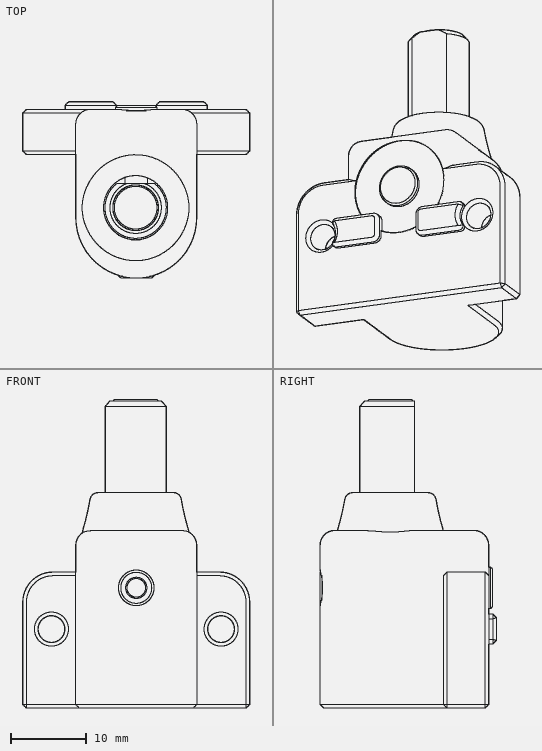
import cadquery as cq
block_radius = 8.0
back_y = 14.3
block_height = 23.5
block_fillet = 2.0
edge_chamfer = 0.5

flange_width = 30.0
flange_height = 18.0
flange_thickness = 6.0
flange_corner_radius = 4.0
mount_hole_diameter = 3.5
mount_hole_spacing = 22.4
mount_hole_z = 10.45

axis_x = -0.08
axis_y = 1.3
collar_top_z = 28.5
collar_top_radius = 5.9
collar_base_radius = 7.0
collar_skirt_radius = 7.2
collar_skirt_depth = 1.0
collar_flare = 0.1
collar_fillet = 1.1
bore_diameter = 8.48
bore_floor_z = 4.0

tab_inner_x = 2.6
tab_outer_x = 9.4
tab_height = 4.0
tab_projection = 1.02
tab_inner_fillet = 0.95
tab_outer_fillet = 0.6
tab_chamfer = 0.5

plunger_diameter = 8.1
plunger_top_z = 40.6
plunger_chamfer_height = 0.75
plunger_chamfer_width = 0.65
plunger_bore_diameter = 6.05
flat_distance = 3.2
core_diameter = 6.0
core_top_z = 40.78
core_chamfer = 0.18

screw_z = 15.9
insert_diameter = 4.7
insert_chamfer = 0.3
insert_socket_diameter = 2.46
insert_socket_depth = 0.9
insert_socket_chamfer = 0.17
stop_head_diameter = 5.5
stop_head_projection = 0.5
stop_head_length = 1.5
stop_head_chamfer = 0.25
stop_tip_diameter = 3.0
stop_recess_radius = 6.4
stop_recess_depth = 0.25

mount_x = mount_hole_spacing / 2
mount_rim_diameter = mount_hole_diameter + 2 * edge_chamfer
flange_front_y = back_y - flange_thickness
flat_y = axis_y + flat_distance
insert_front_y = -block_radius
recess_floor_y = back_y - stop_recess_depth
insert_back_y = axis_y - bore_diameter / 2


def disc_along_y(diameter, y_start, y_end, x=0.0, z=screw_z):
    """Cylinder parallel to Y, running from y_start to y_end."""
    return cq.Workplane("XZ", origin=(x, y_start, z)).circle(diameter / 2).extrude(y_start - y_end)


def cone_along_y(start_diameter, end_diameter, y_start, y_end, x=0.0, z=screw_z):
    """Truncated cone parallel to Y, from start_diameter at y_start to end_diameter at y_end."""
    start = cq.Workplane("XZ", origin=(x, y_start, z)).circle(start_diameter / 2)
    return start.workplane(offset=y_start - y_end).circle(end_diameter / 2).loft()


def rod_along_axis(diameter, top_z):
    """Cylinder on the plunger axis, standing on the bore floor."""
    base = cq.Workplane("XY", origin=(axis_x, axis_y, bore_floor_z))
    return base.circle(diameter / 2).extrude(top_z - bore_floor_z)


def make_insert():
    """Round insert with a chamfered rim and a shallow blind socket."""
    blank = disc_along_y(insert_diameter, insert_front_y, insert_back_y)
    blank = blank.faces("<Y").chamfer(insert_chamfer)
    socket = disc_along_y(
        insert_socket_diameter, insert_front_y, insert_front_y + insert_socket_depth
    )
    mouth = cone_along_y(
        insert_socket_diameter + 2 * insert_socket_chamfer,
        insert_socket_diameter,
        insert_front_y,
        insert_front_y + insert_socket_chamfer,
    )
    return blank.cut(socket).cut(mouth)


def make_stop_screw():
    """Back screw: a round head and a tip that rests on the plunger flat."""
    head_end_y = back_y + stop_head_projection
    head = disc_along_y(stop_head_diameter, head_end_y - stop_head_length, head_end_y)
    head = head.faces(">Y").chamfer(stop_head_chamfer)
    tip = disc_along_y(stop_tip_diameter, flat_y, back_y)
    return head.union(tip)


def make_plunger():
    """Tube with a chamfered end and a full-length flat on its back side."""
    tube = rod_along_axis(plunger_diameter, plunger_top_z)
    tube = tube.faces(">Z").chamfer(plunger_chamfer_height, plunger_chamfer_width)
    behind_flat = cq.Workplane("XY").box(
        2 * plunger_diameter, plunger_diameter, plunger_top_z, centered=(True, False, False)
    )
    tube = tube.cut(behind_flat.translate((axis_x, flat_y, 0)))
    return tube.cut(rod_along_axis(plunger_bore_diameter, plunger_top_z))


def make_core():
    return rod_along_axis(core_diameter, core_top_z).faces(">Z").chamfer(core_chamfer)


def make_block():
    block = (
        cq.Workplane("XY")
        .moveTo(-block_radius, back_y)
        .lineTo(-block_radius, 0)
        .threePointArc((0, -block_radius), (block_radius, 0))
        .lineTo(block_radius, back_y)
        .close()
        .extrude(block_height)
    )
    block = block.edges("|Z and >Y").fillet(block_fillet)
    block = block.faces(">Z").edges().fillet(block_fillet)
    return block.faces("<Z").chamfer(edge_chamfer)


def make_flange():
    return (
        cq.Workplane("XY")
        .box(flange_width, flange_thickness, flange_height, centered=(True, False, False))
        .translate((0, flange_front_y, 0))
        .edges("|Y and >Z")
        .fillet(flange_corner_radius)
        .faces("<Y or >Y or <Z")
        .edges()
        .chamfer(edge_chamfer)
    )


def make_collar():
    """Collar with a slightly hollow flare; its skirt runs down into the block's top fillet."""
    skirt_z = block_height - collar_skirt_depth
    middle_radius = (collar_top_radius + collar_base_radius) / 2 - collar_flare
    middle_z = (collar_top_z + block_height) / 2
    profile = (
        cq.Workplane("XZ", origin=(axis_x, axis_y, 0))
        .moveTo(0, skirt_z)
        .lineTo(collar_skirt_radius, skirt_z)
        .lineTo(collar_base_radius, block_height)
        .threePointArc((middle_radius, middle_z), (collar_top_radius, collar_top_z))
        .lineTo(0, collar_top_z)
        .close()
    )
    collar = profile.revolve(360, (0, 0, 0), (0, 1, 0))
    return collar.faces(">Z").edges().fillet(collar_fillet)


def make_tab():
    """Right-hand tab; its outer end is hollowed around the mounting hole."""
    tab_length = tab_outer_x - tab_inner_x
    tab_depth = tab_projection + stop_recess_depth
    tab = (
        cq.Workplane("XY")
        .box(tab_length, tab_depth, tab_height, centered=(False, False, True))
        .translate((tab_inner_x, recess_floor_y, mount_hole_z))
    )
    tab = tab.edges("|Y and <X").fillet(tab_inner_fillet)
    tab = tab.edges("|Y and >X").fillet(tab_outer_fillet)
    tab = tab.faces(">Y").chamfer(tab_chamfer)
    tab_end_y = back_y + tab_projection
    hollow = disc_along_y(mount_rim_diameter, recess_floor_y, tab_end_y, mount_x, mount_hole_z)
    hollow_rim = cone_along_y(
        mount_rim_diameter + 2 * tab_chamfer,
        mount_rim_diameter,
        tab_end_y,
        tab_end_y - tab_chamfer,
        mount_x,
        mount_hole_z,
    )
    return tab.cut(hollow).cut(hollow_rim)


def make_mount_hole(side):
    """Through hole, countersunk at both ends of the flange."""
    x = side * mount_x
    hole = disc_along_y(mount_hole_diameter, flange_front_y, back_y, x, mount_hole_z)
    for face_y, inward in ((flange_front_y, 1), (back_y, -1)):
        sink_end_y = face_y + inward * edge_chamfer
        sink = cone_along_y(
            mount_rim_diameter, mount_hole_diameter, face_y, sink_end_y, x, mount_hole_z
        )
        hole = hole.union(sink)
    return hole


def make_housing(stop_screw):
    """Block, flange, collar and tabs in one solid, with the seats of the other bodies cut out."""
    housing = make_block().union(make_flange()).union(make_collar())
    housing = housing.cut(disc_along_y(2 * stop_recess_radius, recess_floor_y, back_y))
    tab = make_tab()
    housing = housing.union(tab).union(tab.mirror("YZ"))
    for side in (-1, 1):
        housing = housing.cut(make_mount_hole(side))
    housing = housing.cut(rod_along_axis(bore_diameter, collar_top_z))
    housing = housing.cut(disc_along_y(insert_diameter, insert_front_y, axis_y))
    return housing.cut(stop_screw)


plunger = make_plunger()
core = make_core()
insert = make_insert()
stop_screw = make_stop_screw()
housing = make_housing(stop_screw)

result = cq.Compound.makeCompound(
    [housing.val(), plunger.val(), core.val(), insert.val(), stop_screw.val()]
)